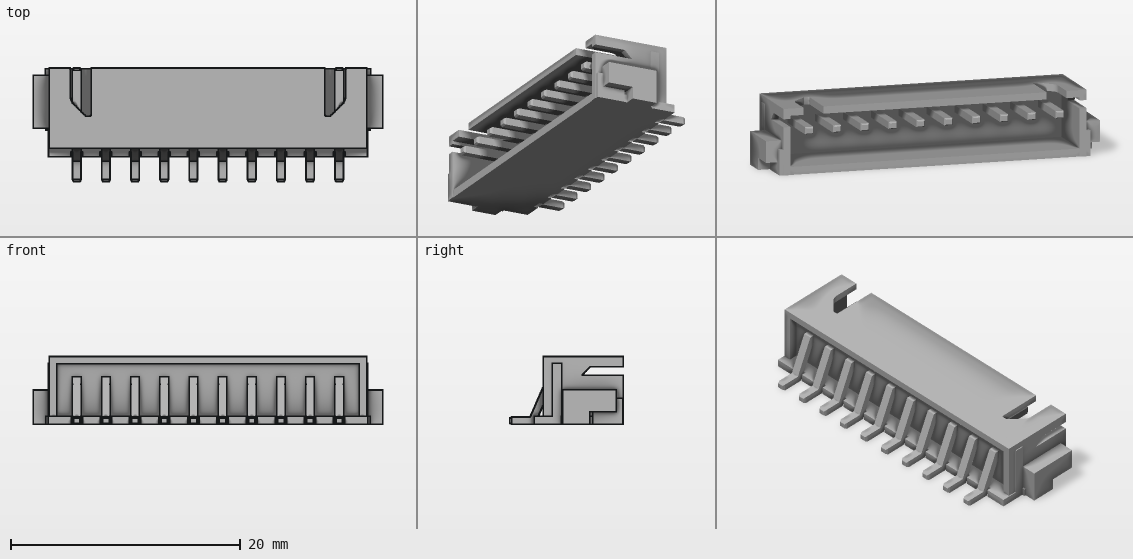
import cadquery as cq
import math


housing_width = 27.66
housing_height = 5.92
housing_back = 7.0
wall = 0.64
floor_height = 0.71
floor_front = 0.06

web_front = 5.35
web_back = 6.2
rib_projection = 0.08
rib_height = 5.3
ledge_depth = 7.75

latch_slot_outer_x = 12.0
latch_slot_inner_x = 10.17
latch_slot_depth = 4.2
latch_slot_straight_depth = 2.84
latch_slot_corner_radius = 1.0
latch_slot_tip_radius = 0.15

end_slot_bottom = 4.28
end_slot_top = 5.0
end_slot_depth_bottom = 3.6
end_slot_depth_top = 2.9

tab_span = 30.45
tab_front = 0.62
tab_back = 5.27
tab_top = 3.0
tab_step_height = 1.08
tab_step_depth = 2.95
front_block_span = 28.36
rear_block_span = 28.3
front_block_back = 2.68
front_block_height = 2.28
rear_block_back = 5.42

pin_count = 10
pin_pitch = 2.54
pin_width = 0.75
pin_thickness = 0.64
pin_tail_depth = 9.91
pin_top = 4.14
pin_upper_bend_depth = 6.61
pin_lower_bend_depth = 8.13
pin_tip_length = 0.2
pin_tip_inset = 0.1
pin_notch_width = 1.0
pin_notch_depth = 7.34


def box(x_min, x_max, depth_front, depth_back, z_min, z_max):
    """Box between two depths measured from the mating face towards -Y."""
    size = (x_max - x_min, depth_back - depth_front, z_max - z_min)
    return cq.Workplane("XY").box(*size, centered=False).translate((x_min, -depth_back, z_min))


def centred_box(width, depth_front, depth_back, z_min, z_max):
    return box(-width / 2, width / 2, depth_front, depth_back, z_min, z_max)


def side_profile(points, x_min, x_max):
    """Extrude a (depth, z) outline along X."""
    outline = [(-depth, z) for depth, z in points]
    return cq.Workplane("YZ").polyline(outline).close().extrude(x_max - x_min).translate((x_min, 0, 0))


def mirrored_pair(shape):
    return shape.union(shape.mirror("YZ"))


def make_housing():
    rib_width = housing_width + 2 * rib_projection
    inner_width = housing_width - 2 * wall
    inner_top = housing_height - wall
    shell = centred_box(housing_width, 0, housing_back, 0, housing_height)
    shell = shell.union(centred_box(rib_width, web_front, web_back, 0, rib_height))
    shell = shell.union(centred_box(rib_width, web_front, ledge_depth, 0, floor_height))
    shell = shell.cut(centred_box(inner_width, 0, web_front, floor_height, inner_top))
    shell = shell.cut(centred_box(inner_width, 0, floor_front, 0, floor_height))
    return shell.cut(centred_box(inner_width, web_back, housing_back, floor_height, inner_top))


def make_latch_slots():
    """Slots open to the mating face; the outer side turns inwards at 45 degrees."""
    slope_run = latch_slot_depth - latch_slot_straight_depth
    outline = [
        (latch_slot_inner_x, 0),
        (latch_slot_outer_x, 0),
        (latch_slot_outer_x, -latch_slot_straight_depth),
        (latch_slot_outer_x - slope_run, -latch_slot_depth),
        (latch_slot_inner_x, -latch_slot_depth),
    ]
    wall_underside = cq.Workplane("XY", origin=(0, 0, housing_height - wall))
    slot = wall_underside.polyline(outline).close().extrude(wall)
    bend_point = (latch_slot_outer_x, -latch_slot_straight_depth, housing_height)
    tip_point = (latch_slot_inner_x, -latch_slot_depth, housing_height)
    bend = cq.selectors.NearestToPointSelector(bend_point)
    tip = cq.selectors.NearestToPointSelector(tip_point)
    slot = slot.edges("|Z").edges(bend).fillet(latch_slot_corner_radius)
    slot = slot.edges("|Z").edges(tip).fillet(latch_slot_tip_radius)
    return mirrored_pair(slot)


def make_end_slots():
    outline = [
        (0, end_slot_bottom),
        (end_slot_depth_bottom, end_slot_bottom),
        (end_slot_depth_top, end_slot_top),
        (0, end_slot_top),
    ]
    return side_profile(outline, -housing_width / 2, housing_width / 2)


def make_end_mounts():
    """Solder tab with a stepped underside, and its two carrier blocks, on each end."""
    inner_x = housing_width / 2 - wall
    tab_outline = [
        (tab_front, tab_top),
        (tab_back, tab_top),
        (tab_back, 0),
        (tab_step_depth, 0),
        (tab_step_depth, tab_step_height),
        (tab_front, tab_step_height),
    ]
    mount = side_profile(tab_outline, inner_x, tab_span / 2)
    front_block = box(inner_x, front_block_span / 2, floor_front, front_block_back, 0, front_block_height)
    rear_block = box(inner_x, rear_block_span / 2, front_block_back, rear_block_back, 0, floor_height)
    return mirrored_pair(mount.union(front_block).union(rear_block))


def make_tip(end_depth, base_depth, z_min):
    """Tapered pin end, from the full section at base_depth to the reduced one at end_depth."""
    small_width = pin_width - 2 * pin_tip_inset
    small_thickness = pin_thickness - 2 * pin_tip_inset
    base = cq.Workplane("XZ", origin=(0, -base_depth, z_min + pin_thickness / 2))
    section = base.rect(pin_width, pin_thickness).workplane(offset=end_depth - base_depth)
    return section.rect(small_width, small_thickness).loft(combine=True)


def make_pin():
    """Rectangular pin: straight contact, sloped leg and flat tail, with both tips tapered."""
    leg_angle = math.atan2(pin_top - pin_thickness, pin_lower_bend_depth - pin_upper_bend_depth)
    tail_end = pin_tail_depth - pin_tip_length
    bend_shift = pin_thickness * math.tan(leg_angle / 2)
    outline = [
        (pin_tip_length, pin_top),
        (pin_upper_bend_depth, pin_top),
        (pin_lower_bend_depth, pin_thickness),
        (tail_end, pin_thickness),
        (tail_end, 0),
        (pin_lower_bend_depth - bend_shift, 0),
        (pin_upper_bend_depth - bend_shift, pin_top - pin_thickness),
        (pin_tip_length, pin_top - pin_thickness),
    ]
    pin = side_profile(outline, -pin_width / 2, pin_width / 2)
    contact_tip = make_tip(0, pin_tip_length, pin_top - pin_thickness)
    tail_tip = make_tip(pin_tail_depth, tail_end, 0)
    return pin.union(contact_tip).union(tail_tip)


def pin_positions():
    first_x = -(pin_count - 1) / 2 * pin_pitch
    return [first_x + index * pin_pitch for index in range(pin_count)]


header = make_housing().cut(make_latch_slots()).cut(make_end_slots()).union(make_end_mounts())
pin = make_pin()
notch = centred_box(pin_notch_width, pin_notch_depth, ledge_depth, 0, floor_height)
for x in pin_positions():
    header = header.cut(notch.translate((x, 0, 0))).union(pin.translate((x, 0, 0)))

result = header